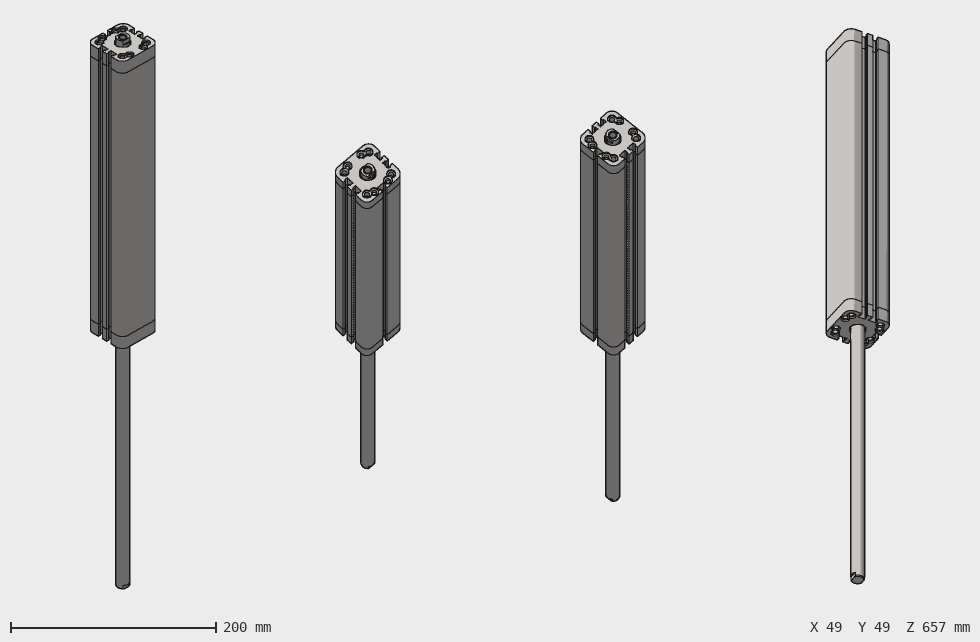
import cadquery as cq

rod_length = 657.0
lower_rod_length = 306.0
housing_length = 344.0
cap_length = 14.5
body_width = 49.0
corner_radius = 8.0

slot_width = 6.0
slot_inner_width = 8.0
slot_depth = 6.5
slot_lip = 3.0
slot_offset = 6.0
slot_overshoot = 6.5

bore_diameter = 32.0
rod_diameter = 14.0
rod_chamfer = 1.0
flat_spacing = 10.5
flat_length = 4.5
rod_hole_diameter = 6.5
rod_hole_depth = 13.0
rod_hole_recess_diameter = 8.5
rod_hole_recess_depth = 0.5

gland_diameter = 16.5
screw_spacing = 32.0
screw_head_diameter = 8.5
screw_hole_diameter = 5.2
screw_hole_depth = 10.0
side_hole_x = 19.0
side_hole_y = 9.0
side_hole_diameter = 4.9
side_recess_diameter = 8.5
small_hole_depth = 6.5
recess_depth = 2.0

half_width = body_width / 2
screw_offset = screw_spacing / 2
barrel_length = housing_length - 2 * cap_length
barrel_bottom = lower_rod_length + cap_length
barrel_top = barrel_bottom + barrel_length

rod_axis = [(0, 0)]
corner_points = [(x, y) for x in (-screw_offset, screw_offset) for y in (-screw_offset, screw_offset)]
side_points = [(x, y) for x in (-side_hole_x, side_hole_x) for y in (-side_hole_y, side_hole_y)]


def make_slot(offset, turn, length):
    """Cutter for a T-slot in the -Y side, shifted along X, then turned about Z."""
    mouth_height = slot_lip + slot_overshoot
    mouth_y = -half_width + slot_lip - mouth_height / 2
    groove_height = slot_depth - slot_lip
    groove_y = -half_width + slot_depth - groove_height / 2
    mouth = cq.Workplane("XY").center(0, mouth_y).rect(slot_width, mouth_height).extrude(length)
    groove = cq.Workplane("XY").center(0, groove_y).rect(slot_inner_width, groove_height).extrude(length)
    return mouth.union(groove).translate((offset, 0, 0)).rotate((0, 0, 0), (0, 0, 1), turn)


def make_profile(length):
    """Rounded square bar with two T-slots in each Y side and one in the -X side."""
    profile = (
        cq.Workplane("XY")
        .rect(body_width, body_width)
        .extrude(length)
        .edges("|Z")
        .fillet(corner_radius)
    )
    for turn in (0, 180):
        for offset in (-slot_offset, slot_offset):
            profile = profile.cut(make_slot(offset, turn, length))
    return profile.cut(make_slot(0, -90, length))


def drill(body, points, top, diameter, depth):
    """Cut round holes downward from the height top."""
    holes = cq.Workplane("XY", origin=(0, 0, top)).pushPoints(points).circle(diameter / 2).extrude(-depth)
    return body.cut(holes)


def make_barrel():
    barrel = make_profile(barrel_length)
    return drill(barrel, rod_axis, barrel_length, bore_diameter, barrel_length)


def make_cap():
    """End cap with its inner face at Z = 0 and its outer face up."""
    cap = make_profile(cap_length)

    cap = drill(cap, rod_axis, cap_length, rod_diameter, cap_length)
    cap = drill(cap, rod_axis, cap_length, gland_diameter, recess_depth)

    cap = drill(cap, corner_points, cap_length, screw_hole_diameter, screw_hole_depth)
    cap = drill(cap, corner_points, cap_length, screw_head_diameter, recess_depth)

    cap = drill(cap, side_points, cap_length, side_hole_diameter, small_hole_depth)
    return drill(cap, side_points, cap_length, side_recess_diameter, recess_depth)


def make_rod():
    """Through rod with two flats facing X at each end and a hole in the upper end."""
    rod = cq.Workplane("XY").circle(rod_diameter / 2).extrude(rod_length).faces("<Z").chamfer(rod_chamfer)
    flat_cutter_x = (flat_spacing + rod_diameter) / 2
    for flat_bottom in (0, rod_length - flat_length):
        flats = (
            cq.Workplane("XY", origin=(0, 0, flat_bottom))
            .pushPoints([(-flat_cutter_x, 0), (flat_cutter_x, 0)])
            .rect(rod_diameter, 2 * rod_diameter)
            .extrude(flat_length)
        )
        rod = rod.cut(flats)
    rod = drill(rod, rod_axis, rod_length, rod_hole_diameter, rod_hole_depth)
    return drill(rod, rod_axis, rod_length, rod_hole_recess_diameter, rod_hole_recess_depth)


barrel = make_barrel().translate((0, 0, barrel_bottom))
upper_cap = make_cap().translate((0, 0, barrel_top))
lower_cap = make_cap().mirror("XY").translate((0, 0, barrel_bottom))
piston_rod = make_rod()

result = cq.Compound.makeCompound([barrel.val(), upper_cap.val(), lower_cap.val(), piston_rod.val()])